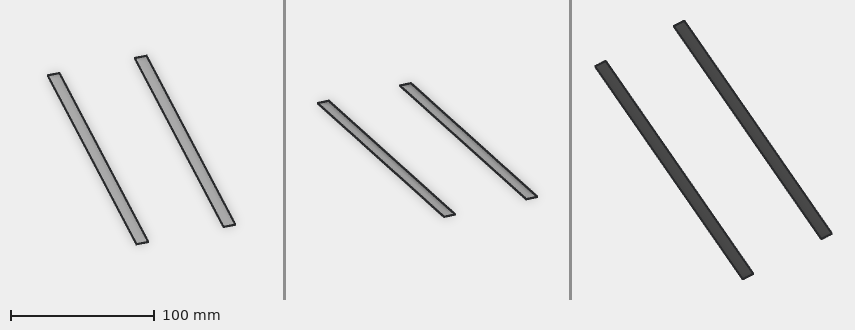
import cadquery as cq

strip_length = 201.0
overall_width = 72.4
strip_width = 8.6
strip_thickness = 0.48

strip_offset = (overall_width - strip_width) / 2


def make_strip(center_y):
    """Thin flat strip along X, centred on the given Y position."""
    return cq.Workplane("XY").box(strip_length, strip_width, strip_thickness).translate((0, center_y, 0))


strips = []
for side in (-1, 1):
    strips.append(make_strip(side * strip_offset).val())

result = cq.Compound.makeCompound(strips)